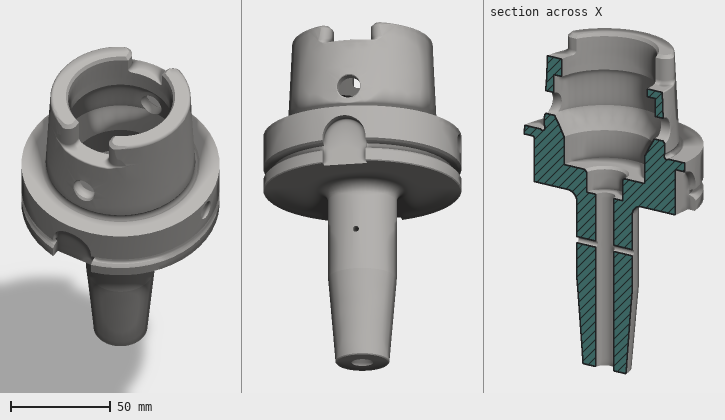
import cadquery as cq
import math

total_length = 169.9
chamfer_angle = 45

taper_top = 50.0
taper_base_radius = 37.7
taper_base_z = 2.5
taper_slope = 1 / 20
taper_top_fillet = 1.7
taper_top_radius = taper_base_radius - (taper_top - taper_base_z) * taper_slope

neck_radius = 37.2
neck_top_z = 1.5
relief_depth = 0.5
relief_fillet = 1.7
relief_floor_radius = neck_radius + relief_fillet
relief_outer_radius = 40.0

flange_radius = 50.0
flange_bottom = -29.0
groove_radius = 45.7
groove_top = -17.0
groove_bottom = -22.8
groove_lip_radius = 48.5
groove_lip = 0.8
groove_flank = 1.7
flange_chamfer = 0.5

shank_bottom = taper_top - total_length
shank_radius = 17.3
shank_fillet = 5.5
shank_taper_z = -75.5
nose_radius = 13.6
nose_chamfer = 0.5

mouth_radius = 26.5
mouth_chamfer = 1.0
mouth_chamfer_height = 1.7
shoulder_z = 30.4
cavity_radius = 31.5
cavity_bottom = 9.9
seat_radius = 25.0
seat_angle = math.radians(30)
seat_z = cavity_bottom - (cavity_radius - seat_radius) / math.tan(seat_angle)
seat_floor = -16.0
thread_radius = 11.0
thread_chamfer = 1.4
thread_depth = 11.9
through_radius = 5.5

slot_half_width = 9.9
slot_depth_front = 15.1
slot_depth_back = 10.0
slot_floor_fillet = 2.0
slot_top_chamfer = 1.7
slot_corner_radius = 4.8
slot_corner_y = 27.4
slot_flare_length = 23.8
slot_rim_fillet = 0.7

keyway_half_width = 11.0
keyway_top = -5.0
keyway_flat = 44.0
keyway_fillet = 0.5

access_hole_radius = 6.0
access_hole_z = 15.0
access_countersink_y = 36.4
pocket_radius = 5.0
pocket_z = -7.0
pocket_depth = 5.1
vent_radius = 1.5
vent_z = -54.5


def make_body():
    """Turned outer shape."""
    profile = (
        cq.Workplane("XZ")
        .moveTo(0, taper_top)
        .lineTo(taper_top_radius, taper_top)
        .lineTo(taper_base_radius, taper_base_z)
        .lineTo(neck_radius, neck_top_z)
        .lineTo(neck_radius, relief_fillet - relief_depth)
        .radiusArc((relief_floor_radius, -relief_depth), -relief_fillet)
        .lineTo(relief_outer_radius, 0)
        .lineTo(flange_radius, 0)
        .lineTo(flange_radius, groove_top)
        .lineTo(groove_lip_radius, groove_top - groove_lip)
        .lineTo(groove_radius, groove_top - groove_flank)
        .lineTo(groove_radius, groove_bottom + groove_flank)
        .lineTo(groove_lip_radius, groove_bottom + groove_lip)
        .lineTo(flange_radius - flange_chamfer, groove_bottom)
        .lineTo(flange_radius, groove_bottom - flange_chamfer)
        .lineTo(flange_radius, flange_bottom + flange_chamfer)
        .lineTo(flange_radius - flange_chamfer, flange_bottom)
        .lineTo(shank_radius + shank_fillet, flange_bottom)
        .radiusArc((shank_radius, flange_bottom - shank_fillet), -shank_fillet)
        .lineTo(shank_radius, shank_taper_z)
        .lineTo(nose_radius, shank_bottom + nose_chamfer)
        .lineTo(nose_radius - nose_chamfer, shank_bottom)
        .lineTo(0, shank_bottom)
        .close()
    )
    body = profile.revolve(360, (0, 0, 0), (0, 1, 0))
    return body.faces(">Z").edges().fillet(taper_top_fillet)


def make_bore():
    """Stepped bore along the whole axis, widened behind the clamping shoulder."""
    return (
        cq.Workplane("XZ")
        .moveTo(0, taper_top)
        .lineTo(mouth_radius + mouth_chamfer, taper_top)
        .lineTo(mouth_radius, taper_top - mouth_chamfer_height)
        .lineTo(mouth_radius, shoulder_z)
        .lineTo(cavity_radius, shoulder_z)
        .lineTo(cavity_radius, cavity_bottom)
        .lineTo(seat_radius, seat_z)
        .lineTo(seat_radius, seat_floor)
        .lineTo(thread_radius + thread_chamfer, seat_floor)
        .lineTo(thread_radius, seat_floor - thread_chamfer)
        .lineTo(thread_radius, seat_floor - thread_depth)
        .lineTo(through_radius, seat_floor - thread_depth)
        .lineTo(through_radius, shank_bottom)
        .lineTo(0, shank_bottom)
        .close()
        .revolve(360, (0, 0, 0), (0, 1, 0))
    )


def slot_outline(plane):
    """Slot opening toward -Y. Each wall rounds outward, then runs on at right angles to the radius."""
    corner_x = slot_half_width + slot_corner_radius
    flare_angle = math.atan2(slot_corner_y, corner_x)
    middle_angle = (math.pi + flare_angle) / 2
    outside = flange_radius

    def corner_point(angle):
        x = corner_x + slot_corner_radius * math.cos(angle)
        y = -slot_corner_y - slot_corner_radius * math.sin(angle)
        return x, y

    def mirrored(point):
        return -point[0], point[1]

    mid = corner_point(middle_angle)
    end = corner_point(flare_angle)
    tip = (
        end[0] + slot_flare_length * math.sin(flare_angle),
        end[1] + slot_flare_length * math.cos(flare_angle),
    )
    return (
        plane.moveTo(-slot_half_width, 0)
        .lineTo(slot_half_width, 0)
        .lineTo(slot_half_width, -slot_corner_y)
        .threePointArc(mid, end)
        .lineTo(*tip)
        .lineTo(tip[0], -outside)
        .lineTo(-tip[0], -outside)
        .lineTo(*mirrored(tip))
        .lineTo(*mirrored(end))
        .threePointArc(mirrored(mid), (-slot_half_width, -slot_corner_y))
        .close()
    )


def make_slot(depth):
    """Cutter for the -Y drive slot: rounded along the floor, flared along the top edge."""
    plane = cq.Workplane("XY").workplane(offset=taper_top - depth)
    cutter = slot_outline(plane).extrude(depth)
    cutter = cutter.faces("<Z").edges().fillet(slot_floor_fillet)
    rim_plane = cq.Workplane("XY").workplane(offset=taper_top - slot_top_chamfer)
    flare = slot_outline(rim_plane).extrude(slot_top_chamfer, taper=-chamfer_angle)
    return cutter.union(flare)


def make_keyway():
    """Cutter for the round-topped keyway on the -Y side of the flange."""
    cutter = (
        cq.Workplane("XZ", origin=(0, -keyway_flat, 0))
        .moveTo(-keyway_half_width, flange_bottom)
        .lineTo(keyway_half_width, flange_bottom)
        .lineTo(keyway_half_width, keyway_top - keyway_half_width)
        .threePointArc((0, keyway_top), (-keyway_half_width, keyway_top - keyway_half_width))
        .close()
        .extrude(flange_radius - keyway_flat)
    )
    floor_edges = cutter.faces(">Y").edges("not <Z")
    return floor_edges.fillet(keyway_fillet)


def make_cross_hole(radius, z):
    """Hole along Y through both walls."""
    return (
        cq.Workplane("XZ", origin=(0, 0, z))
        .circle(radius)
        .extrude(flange_radius, both=True)
    )


def make_countersink():
    """Countersink at the -Y mouth of the access hole."""
    length = taper_base_radius - access_countersink_y
    return (
        cq.Workplane("XZ", origin=(0, -access_countersink_y, access_hole_z))
        .circle(access_hole_radius)
        .extrude(length, taper=-chamfer_angle)
    )


def make_pocket():
    """Cutter for the blind round pocket on the +X side of the flange."""
    return (
        cq.Workplane("YZ", origin=(flange_radius - pocket_depth, 0, pocket_z))
        .circle(pocket_radius)
        .extrude(pocket_depth)
    )


def half_turn(shape):
    return shape.rotate((0, 0, 0), (0, 0, 1), 180)


def round_slot_rim(body, side, depth):
    """Round the outer rim of a slot, along its floor and up both walls."""
    rim_y = side * (taper_top_radius + depth * taper_slope)
    rim_point = (0, rim_y, taper_top - depth)
    rim = body.edges(cq.selectors.NearestToPointSelector(rim_point))
    return rim.fillet(slot_rim_fillet)


result = make_body().cut(make_bore())
result = result.cut(make_slot(slot_depth_front))
result = result.cut(half_turn(make_slot(slot_depth_back)))
for paired_cutter in (make_keyway(), make_pocket(), make_countersink()):
    result = result.cut(paired_cutter).cut(half_turn(paired_cutter))
result = result.cut(make_cross_hole(access_hole_radius, access_hole_z))
result = result.cut(make_cross_hole(vent_radius, vent_z))
result = round_slot_rim(result, -1, slot_depth_front)
result = round_slot_rim(result, 1, slot_depth_back)